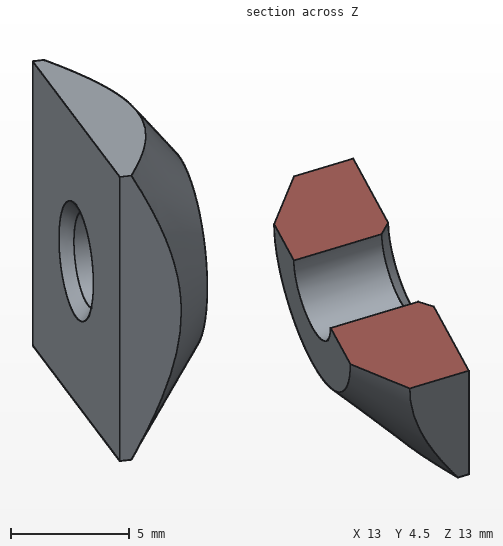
import cadquery as cq

side = 13.0
thickness = 4.5
corner_height = 0.51
crown_radius = 4.29

hole_diameter = 4.11
countersink_diameter = 5.12
countersink_depth = (countersink_diameter - hole_diameter) / 2

corner_radius = side / 2 * 2**0.5


def revolve_about_y(points):
    """Revolve a closed (radius, y) profile around the Y axis."""
    return cq.Workplane("XY").polyline(points).close().revolve(360, (0, 0, 0), (0, 1, 0))


block = cq.Workplane("XY").box(side, thickness, side).translate((0, thickness / 2, 0))
crown = revolve_about_y([
    (0, 0),
    (corner_radius, 0),
    (corner_radius, corner_height),
    (crown_radius, thickness),
    (0, thickness),
])

hole = revolve_about_y([
    (0, 0),
    (countersink_diameter / 2, 0),
    (hole_diameter / 2, countersink_depth),
    (hole_diameter / 2, thickness),
    (0, thickness),
])

result = block.intersect(crown).cut(hole)